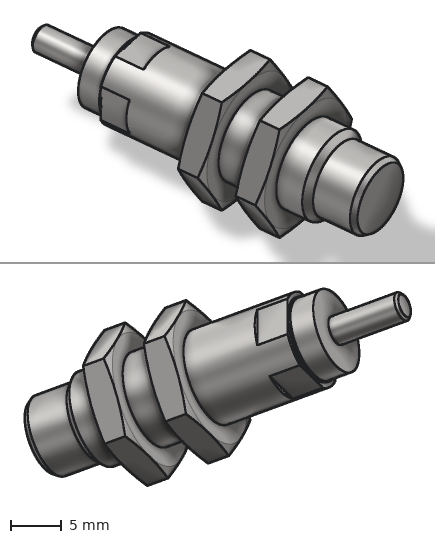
import cadquery as cq
import math

LENGTH = 41.5
ROD_TIP_X = -LENGTH / 2
REAR_END_X = LENGTH / 2

ROD_DIAMETER = 3.0
ROD_LENGTH = 7.9
ROD_TIP_CHAMFER = 0.3

CAP_DIAMETER = 8.7
CAP_LENGTH = 2.6
COLLAR_DIAMETER = 8.9
COLLAR_LENGTH = 0.25

BARREL_DIAMETER = 10.0
BARREL_LENGTH = 24.85
FLAT_LENGTH = 3.5
ACROSS_FLATS = 9.0

SHOULDER_LENGTH = 0.8
TAIL_DIAMETER = 8.5
TAIL_CHAMFER_LENGTH = 0.62
TAIL_CHAMFER_DEPTH = 0.4

NUT_ACROSS_FLATS = 14.0
NUT_THICKNESS = 3.0
NUT_SPACING = 7.0
NUT_COUNT = 2
FIRST_NUT_X = 1.7
NUT_FACE_DIAMETER = 13.9
NUT_CHAMFER_ANGLE = 15.0

CAP_FRONT_X = ROD_TIP_X + ROD_LENGTH
CAP_BACK_X = CAP_FRONT_X + CAP_LENGTH
BARREL_FRONT_X = CAP_BACK_X + COLLAR_LENGTH
BARREL_BACK_X = BARREL_FRONT_X + BARREL_LENGTH
TAIL_FRONT_X = BARREL_BACK_X + SHOULDER_LENGTH
TAIL_CHAMFER_X = REAR_END_X - TAIL_CHAMFER_LENGTH


def revolve_about_x(profile):
    """Turn a closed profile of (x, radius) points about the X axis."""
    return cq.Workplane("XY").polyline(profile).close().revolve(360, (0, 0, 0), (1, 0, 0))


def make_rod():
    rod = cq.Workplane("YZ", origin=(ROD_TIP_X, 0, 0)).circle(ROD_DIAMETER / 2).extrude(ROD_LENGTH)
    return rod.faces("<X").chamfer(ROD_TIP_CHAMFER)


def make_turned_housing():
    cap_radius = CAP_DIAMETER / 2
    collar_radius = COLLAR_DIAMETER / 2
    barrel_radius = BARREL_DIAMETER / 2
    tail_radius = TAIL_DIAMETER / 2
    return revolve_about_x([
        (CAP_FRONT_X, 0),
        (CAP_FRONT_X, cap_radius),
        (CAP_BACK_X, cap_radius),
        (CAP_BACK_X, collar_radius),
        (BARREL_FRONT_X, collar_radius),
        (BARREL_FRONT_X, barrel_radius),
        (BARREL_BACK_X, barrel_radius),
        (TAIL_FRONT_X, tail_radius),
        (TAIL_CHAMFER_X, tail_radius),
        (REAR_END_X, tail_radius - TAIL_CHAMFER_DEPTH),
        (REAR_END_X, 0),
    ])


def make_wrench_flat_cutter():
    """Square ring that leaves four flats, facing +Y, -Y, +Z and -Z."""
    return (
        cq.Workplane("YZ", origin=(BARREL_FRONT_X, 0, 0))
        .rect(2 * BARREL_DIAMETER, 2 * BARREL_DIAMETER)
        .rect(ACROSS_FLATS, ACROSS_FLATS)
        .extrude(FLAT_LENGTH)
    )


def make_nut_ring(front_x):
    """Hexagon with points along Y, its corners bevelled on both faces."""
    corner_diameter = NUT_ACROSS_FLATS / math.cos(math.pi / 6)
    face_radius = NUT_FACE_DIAMETER / 2
    corner_radius = corner_diameter / 2
    bevel_length = (corner_radius - face_radius) * math.tan(math.radians(NUT_CHAMFER_ANGLE))
    back_x = front_x + NUT_THICKNESS
    hexagon = cq.Workplane("YZ", origin=(front_x, 0, 0)).polygon(6, corner_diameter).extrude(NUT_THICKNESS)
    bevel_envelope = revolve_about_x([
        (front_x, 0),
        (front_x, face_radius),
        (front_x + bevel_length, corner_radius),
        (back_x - bevel_length, corner_radius),
        (back_x, face_radius),
        (back_x, 0),
    ])
    return hexagon.intersect(bevel_envelope)


def make_housing():
    """Turned housing and its nut rings as one solid."""
    housing = make_turned_housing().cut(make_wrench_flat_cutter())
    for index in range(NUT_COUNT):
        housing = housing.union(make_nut_ring(FIRST_NUT_X + index * NUT_SPACING))
    return housing


rod = make_rod()
housing = make_housing()

result = cq.Compound.makeCompound([rod.val(), *housing.vals()])